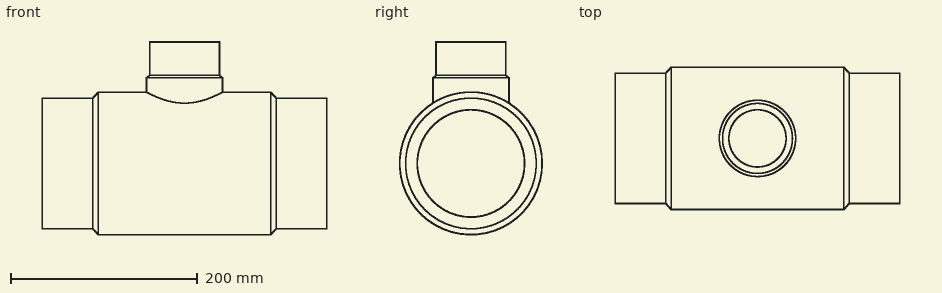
import cadquery as cq

pipe_length = 305.0
pipe_diameter = 140.0
pipe_bore = 114.7

sleeve_diameter = 152.8
sleeve_length = 196.5
sleeve_chamfer_depth = (sleeve_diameter - pipe_diameter) / 2
sleeve_chamfer_length = 5.8

overall_height = 206.5
branch_top = overall_height - sleeve_diameter / 2
branch_diameter = 75.0
branch_bore = 61.3

collar_diameter = 81.7
collar_top = 94.2
collar_chamfer_depth = (collar_diameter - branch_diameter) / 2
collar_chamfer_length = 2.7


def cylinder_along_x(diameter, length):
    """Cylinder on the X axis, centred on the origin."""
    return cq.Workplane("YZ", origin=(-length / 2, 0, 0)).circle(diameter / 2).extrude(length)


def cylinder_up(diameter, height):
    """Cylinder on the Z axis, rising from the pipe axis."""
    return cq.Workplane("XY").circle(diameter / 2).extrude(height)


pipe = cylinder_along_x(pipe_diameter, pipe_length)
branch = cylinder_up(branch_diameter, branch_top)
sleeve = (
    cylinder_along_x(sleeve_diameter, sleeve_length)
    .faces("<X or >X")
    .edges()
    .chamfer(sleeve_chamfer_length, sleeve_chamfer_depth)
)
collar = (
    cylinder_up(collar_diameter, collar_top)
    .faces(">Z")
    .edges()
    .chamfer(collar_chamfer_length, collar_chamfer_depth)
)
body = pipe.union(sleeve).union(branch).union(collar)

main_bore = cylinder_along_x(pipe_bore, pipe_length)
side_bore = cylinder_up(branch_bore, branch_top)
result = body.cut(main_bore).cut(side_bore)